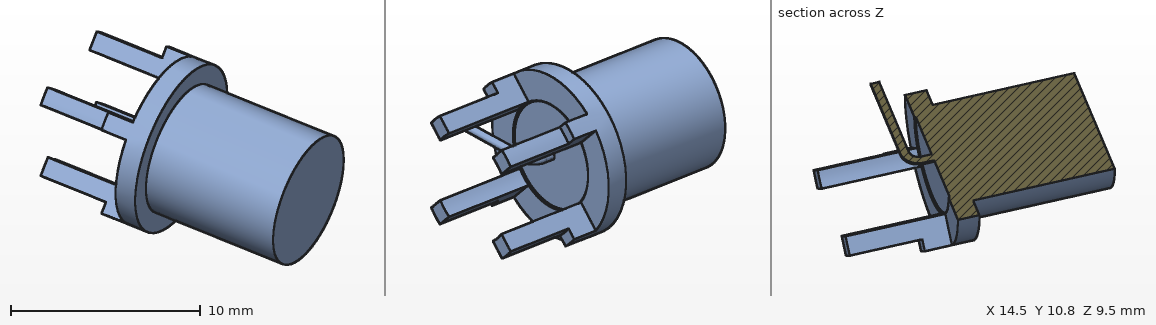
import cadquery as cq

total_length = 14.5
flange_diameter = 9.5
barrel_diameter = 7.28
flange_start = 5.5
flange_thickness = 1.2

leg_count = 4
leg_width = 1.0
leg_inner_radius = 3.06
leg_outer_radius = 4.1
shoulder_start = 4.0

recess_radius = leg_inner_radius
recess_floor_radius = 2.99
recess_depth = 0.07

wire_diameter = 0.5
wire_root_depth = 0.5
wire_bend_radius = 0.75
overall_width = 10.8

flange_radius = flange_diameter / 2
wire_end_y = overall_width - flange_radius
wire_x = shoulder_start + wire_diameter / 2
recess_floor_x = flange_start + recess_depth


def tube(start, end, outer_radius, inner_radius):
    """Tube along X between two X positions."""
    section = cq.Workplane("YZ", origin=(start, 0, 0)).circle(outer_radius).circle(inner_radius)
    return section.extrude(end - start)


def make_body():
    """Barrel and flange turned about X, with the recess in the flange face."""
    flange_end = flange_start + flange_thickness
    profile = [
        (recess_floor_x, 0),
        (recess_floor_x, recess_floor_radius),
        (flange_start, recess_radius),
        (flange_start, flange_radius),
        (flange_end, flange_radius),
        (flange_end, barrel_diameter / 2),
        (total_length, barrel_diameter / 2),
        (total_length, 0),
    ]
    return cq.Workplane("XY").polyline(profile).close().revolve(360, (0, 0, 0), (1, 0, 0))


def make_legs():
    """Legs on the diagonals, each with a shoulder flush with the flange rim."""
    root_end = flange_start + flange_thickness
    stepped_tube = tube(0, root_end, leg_outer_radius, leg_inner_radius).union(
        tube(shoulder_start, root_end, flange_radius, leg_inner_radius)
    )
    spokes = cq.Workplane("XY")
    for index in range(leg_count):
        spoke = cq.Workplane("XY").box(root_end, flange_radius * 2, leg_width, centered=(False, False, True))
        angle = 360 / leg_count * (index + 0.5)
        spokes = spokes.add(spoke.rotate((0, 0, 0), (1, 0, 0), angle))
    return stepped_tube.intersect(spokes.combine())


def make_wire():
    """Round wire rooted just below the recess floor, bent through 90 degrees to +Y."""
    wire_root_x = recess_floor_x + wire_root_depth
    bend_start_x = wire_x + wire_bend_radius
    path = (
        cq.Workplane("XY")
        .moveTo(wire_root_x, 0)
        .lineTo(bend_start_x, 0)
        .tangentArcPoint((wire_x, wire_bend_radius), relative=False)
        .lineTo(wire_x, wire_end_y)
    )
    return cq.Workplane("YZ", origin=(wire_root_x, 0, 0)).circle(wire_diameter / 2).sweep(path)


result = make_body().union(make_legs()).union(make_wire())